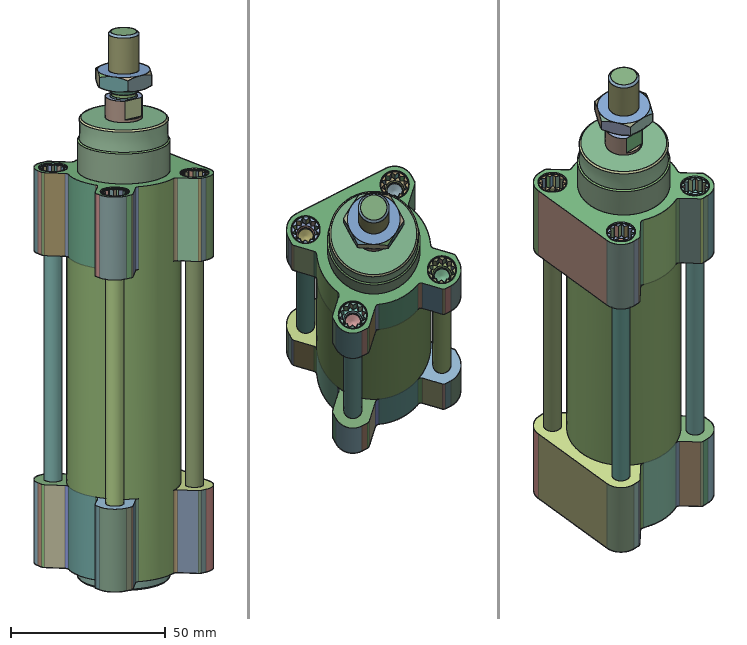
import cadquery as cq
import math


rear_cap_bottom = 4.0
cap_length = 28.1
front_cap_top = 138.0
collar_top = 148.6
wiper_top = 156.0
rod_flat_bottom = 157.0
rod_shoulder = 163.3
neck_bottom = 163.6
neck_top = 164.7
thread_bottom = 166.8
nut_bottom = 167.1
total_height = 185.1

rear_cap_top = rear_cap_bottom + cap_length
front_cap_bottom = front_cap_top - cap_length

cap_width = 45.0
tie_rod_spacing = 32.5
lobe_radius = 18.5
notch_fillet = 1.3

cap_half_width = cap_width / 2
corner_radius = (cap_width - tie_rod_spacing) / 2

barrel_radius = lobe_radius
tie_rod_radius = 3.0
collar_radius = 15.0
rear_chamfer = 0.5
wiper_radius = 14.5
wiper_waist_depth = 0.2
wiper_chamfer = 0.5
collar_slope_height = 0.4

socket_mouth_diameter = 9.5
socket_throat_diameter = 8.9
socket_ledge_depth = 0.5
socket_depth = 5.5
tooth_tip_diameter = 8.7
tooth_root_diameter = 6.7
tooth_count = 12
funnel_diameter = 6.0
pilot_diameter = 5.0
pilot_depth = 1.9
pilot_point_angle = 120.0

rod_diameter = 12.0
rod_across_flats = 10.0
thread_radius = 5.0
thread_chamfer = 0.7
neck_edge_radius = 4.5
neck_radius = 4.0

rod_radius = rod_diameter / 2

nut_across_flats = 17.0
nut_thickness = 5.0
nut_chamfer_angle = 30.0


def disc(radius, bottom, top):
    return cq.Workplane("XY", origin=(0, 0, bottom)).circle(radius).extrude(top - bottom)


def revolved(profile):
    """Turn a closed (radius, height) profile about the Z axis."""
    return profile.close().revolve(360, (0, 0, 0), (0, 1, 0))


def rotated(point, degrees):
    angle = math.radians(degrees)
    x, y = point
    return (
        x * math.cos(angle) - y * math.sin(angle),
        x * math.sin(angle) + y * math.cos(angle),
    )


def make_cap(bottom):
    """Rounded square block, notched down to a round lobe on every side but +Y."""
    flank_gap = math.sqrt(2) * corner_radius
    mouth_x = cap_half_width - flank_gap
    foot_x = (math.sqrt(2 * lobe_radius**2 - flank_gap**2) - flank_gap) / 2
    foot_y = foot_x + flank_gap
    notch_corners = [
        (-mouth_x, -cap_half_width),
        (-foot_x, -foot_y),
        (foot_x, -foot_y),
        (mouth_x, -cap_half_width),
    ]
    cap = (
        cq.Workplane("XY", origin=(0, 0, bottom))
        .rect(cap_width, cap_width)
        .extrude(cap_length)
        .edges("|Z")
        .fillet(corner_radius)
    )
    notch = (
        cq.Workplane("XY", origin=(0, 0, bottom))
        .moveTo(*notch_corners[0])
        .lineTo(*notch_corners[1])
        .threePointArc((0, -lobe_radius), notch_corners[2])
        .lineTo(*notch_corners[3])
        .close()
        .extrude(cap_length)
    )
    for turn in (-90, 0, 90):
        cap = cap.cut(notch.rotate((0, 0, 0), (0, 0, 1), turn))
        for corner in notch_corners:
            edge_middle = (*rotated(corner, turn), bottom + cap_length / 2)
            cap = cap.edges(cq.selectors.NearestToPointSelector(edge_middle)).fillet(notch_fillet)
    return cap


def make_socket():
    """Recess below the front cap face: sloped mouth, toothed wall, funnel and drilled pilot."""
    ledge = front_cap_top - socket_ledge_depth
    floor = front_cap_top - socket_depth
    tooth_points = []
    for i in range(tooth_count):
        for diameter, half_pitches in ((tooth_root_diameter, 2 * i), (tooth_tip_diameter, 2 * i + 1)):
            tooth_points.append(rotated((diameter / 2, 0), half_pitches * 180 / tooth_count))
    toothed_bore = (
        cq.Workplane("XY", origin=(0, 0, floor)).polyline(tooth_points).close().extrude(ledge - floor)
    )

    mouth_slope = (socket_mouth_diameter - socket_throat_diameter) / 2
    funnel_height = (funnel_diameter - pilot_diameter) / 2
    pilot_bottom = floor - pilot_depth
    point_height = pilot_diameter / 2 / math.tan(math.radians(pilot_point_angle / 2))
    round_bore = revolved(
        cq.Workplane("XZ")
        .moveTo(0, front_cap_top)
        .lineTo(socket_mouth_diameter / 2, front_cap_top)
        .lineTo(socket_throat_diameter / 2, front_cap_top - mouth_slope)
        .lineTo(socket_throat_diameter / 2, ledge)
        .lineTo(funnel_diameter / 2, ledge)
        .lineTo(funnel_diameter / 2, floor)
        .lineTo(pilot_diameter / 2, floor - funnel_height)
        .lineTo(pilot_diameter / 2, pilot_bottom)
        .lineTo(0, pilot_bottom - point_height)
    )
    return toothed_bore.union(round_bore)


def make_collar():
    """Front collar topped by a slightly waisted wiper ring."""
    wiper_edge = wiper_top - wiper_chamfer
    return revolved(
        cq.Workplane("XZ")
        .moveTo(0, front_cap_top)
        .lineTo(collar_radius, front_cap_top)
        .lineTo(collar_radius, collar_top - collar_slope_height)
        .lineTo(wiper_radius, collar_top)
        .threePointArc(
            (wiper_radius - wiper_waist_depth, (collar_top + wiper_edge) / 2),
            (wiper_radius, wiper_edge),
        )
        .lineTo(wiper_radius - wiper_chamfer, wiper_top)
        .lineTo(0, wiper_top)
    )


def make_housing():
    rear_collar = disc(collar_radius, 0, rear_cap_bottom).faces("<Z").chamfer(rear_chamfer)
    body = (
        make_cap(rear_cap_bottom)
        .union(make_cap(front_cap_bottom))
        .union(disc(barrel_radius, rear_cap_top, front_cap_bottom))
        .union(rear_collar)
        .union(make_collar())
    )
    tie_rod = disc(tie_rod_radius, rear_cap_top, front_cap_bottom)
    socket = make_socket()
    for x_side in (-1, 1):
        for y_side in (-1, 1):
            place = (x_side * tie_rod_spacing / 2, y_side * tie_rod_spacing / 2, 0)
            body = body.union(tie_rod.translate(place)).cut(socket.translate(place))
    rod_bore = disc(rod_radius, front_cap_bottom, wiper_top)
    return body.cut(rod_bore)


def make_piston_rod():
    """Rod with two wrench flats, a relief neck and a chamfered thread end."""
    rod = revolved(
        cq.Workplane("XZ")
        .moveTo(0, front_cap_bottom)
        .lineTo(rod_radius, front_cap_bottom)
        .lineTo(rod_radius, rod_shoulder)
        .lineTo(neck_edge_radius, rod_shoulder)
        .lineTo(neck_radius, neck_bottom)
        .lineTo(neck_radius, neck_top)
        .lineTo(neck_edge_radius, neck_top)
        .lineTo(thread_radius, thread_bottom)
        .lineTo(thread_radius, total_height - thread_chamfer)
        .lineTo(thread_radius - thread_chamfer, total_height)
        .lineTo(0, total_height)
    )
    flat_cutter = (
        cq.Workplane("XY", origin=(0, 0, rod_flat_bottom))
        .rect(2 * rod_across_flats, 2 * rod_radius)
        .rect(rod_across_flats, 2 * rod_radius)
        .extrude(rod_shoulder - rod_flat_bottom)
    )
    return rod.cut(flat_cutter)


def make_lock_nut():
    """Hexagon nut with its corners chamfered at both faces."""
    hexagon_radius = nut_across_flats / math.sqrt(3)
    chamfer_width = hexagon_radius - nut_across_flats / 2
    chamfer_height = chamfer_width * math.tan(math.radians(nut_chamfer_angle))
    nut_top = nut_bottom + nut_thickness
    hexagon = (
        cq.Workplane("XY", origin=(0, 0, nut_bottom))
        .polygon(6, 2 * hexagon_radius)
        .extrude(nut_thickness)
        .rotate((0, 0, 0), (0, 0, 1), 30)
    )
    chamfered_blank = (
        disc(hexagon_radius, nut_bottom, nut_top)
        .faces("<Z or >Z")
        .chamfer(chamfer_height, chamfer_width)
    )
    return hexagon.intersect(chamfered_blank).cut(disc(thread_radius, nut_bottom, nut_top))


housing = make_housing()
piston_rod = make_piston_rod()
lock_nut = make_lock_nut()
bodies = [*housing.solids().vals(), *piston_rod.solids().vals(), *lock_nut.solids().vals()]
result = cq.Compound.makeCompound(bodies)